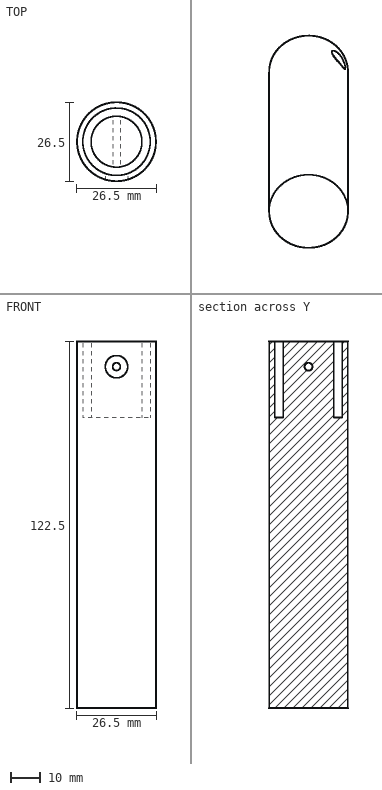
import cadquery as cq

length = 122.5
outer_diameter = 26.5

recess_diameter = 22.5
core_diameter = 17.0

wall_hole_diameter = 7.5
core_hole_diameter = 2.6
hole_drop = 8.5
hole_height = length - hole_drop
recess_depth = 3 * hole_drop


def cylinder_body():
    return cq.Workplane("XY").circle(outer_diameter / 2).extrude(length)


def ring_recess():
    return (
        cq.Workplane("XY", origin=(0, 0, length - recess_depth))
        .circle(recess_diameter / 2)
        .circle(core_diameter / 2)
        .extrude(recess_depth)
    )


def cross_hole(diameter, start_radius, hole_length):
    """Hole along Y, starting at start_radius on the -Y side and running inward."""
    return (
        cq.Workplane("XZ", origin=(0, -start_radius, hole_height))
        .circle(diameter / 2)
        .extrude(-hole_length)
    )


wall_hole_length = (outer_diameter - core_diameter) / 2
wall_hole = cross_hole(wall_hole_diameter, outer_diameter / 2, wall_hole_length)

core_hole = cross_hole(core_hole_diameter, core_diameter / 2, core_diameter)

result = cylinder_body().cut(ring_recess()).cut(wall_hole).cut(core_hole)